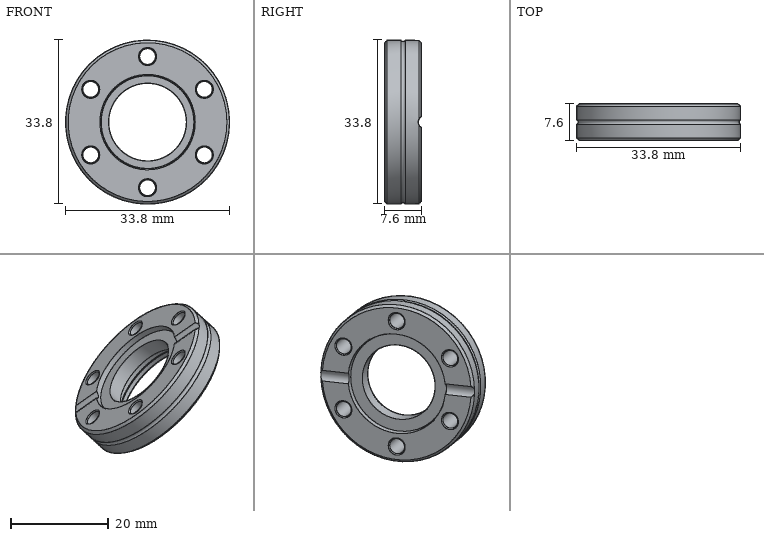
import cadquery as cq
import math


ring_diameter = 33.8
ring_width = 7.6
rim_chamfer = 0.55
lip_diameter = 19.2
lip_depth = 1.15
lip_chamfer = 0.25
seat_diameter = 21.4

rim_groove_width = 0.95
rim_groove_depth = 0.27

bolt_count = 6
bolt_hole_diameter = 3.25
bolt_hole_chamfer = 0.25
bolt_circle_diameter = 27.05

leak_groove_width = 2.3
leak_groove_depth = 0.65

insert_diameter = 21.1
insert_bore = 16.0
socket_diameter = 19.1
socket_chamfer = 0.25
socket_floor_depth = 3.15
insert_setback = 1.18

weld_face = -ring_width / 2
sealing_face = ring_width / 2
insert_front = weld_face + lip_depth
insert_back = sealing_face - insert_setback
overshoot = 0.35


def cylinder(diameter, y_start, y_end):
    """Solid cylinder on the Y axis between two Y positions."""
    return (
        cq.Workplane("XZ", origin=(0, y_start, 0))
        .circle(diameter / 2)
        .extrude(y_start - y_end)
    )


def arc_radius(width, depth):
    """Radius of the arc with the given chord width and height."""
    return (width ** 2 / 4 + depth ** 2) / (2 * depth)


def rim_groove():
    """Ring-shaped cutter for the groove halfway along the rim."""
    radius = arc_radius(rim_groove_width, rim_groove_depth)
    center_radius = ring_diameter / 2 - rim_groove_depth + radius
    return (
        cq.Workplane("XY")
        .center(center_radius, 0)
        .circle(radius)
        .revolve(360, (-center_radius, 0), (-center_radius, 1))
    )


def bolt_hole(angle):
    """Cutter for one through hole with a chamfer at both ends."""
    hole_radius = bolt_hole_diameter / 2
    mouth_radius = hole_radius + bolt_hole_chamfer
    profile = [
        (0, weld_face),
        (mouth_radius, weld_face),
        (hole_radius, weld_face + bolt_hole_chamfer),
        (hole_radius, sealing_face - bolt_hole_chamfer),
        (mouth_radius, sealing_face),
        (0, sealing_face),
    ]
    cutter = cq.Workplane("XY").polyline(profile).close().revolve(360, (0, 0), (0, 1))
    bolt_radius = bolt_circle_diameter / 2
    return cutter.translate((bolt_radius * math.cos(angle), 0, bolt_radius * math.sin(angle)))


def leak_groove():
    """Round-bottomed cutter that runs along X across the whole sealing face."""
    radius = arc_radius(leak_groove_width, leak_groove_depth)
    length = ring_diameter + 2 * overshoot
    return (
        cq.Workplane("YZ", origin=(-length / 2, 0, 0))
        .center(sealing_face - leak_groove_depth + radius, 0)
        .circle(radius)
        .extrude(length)
    )


def make_bolt_ring():
    ring = cylinder(ring_diameter, weld_face, sealing_face).edges().chamfer(rim_chamfer)
    ring = ring.cut(cylinder(lip_diameter, weld_face - overshoot, sealing_face))
    ring = ring.faces("<Y").edges(cq.selectors.RadiusNthSelector(0)).chamfer(lip_chamfer)
    ring = ring.cut(cylinder(seat_diameter, insert_front, sealing_face + overshoot))
    ring = ring.cut(rim_groove())
    for index in range(bolt_count):
        ring = ring.cut(bolt_hole(math.pi / 2 + index * 2 * math.pi / bolt_count))
    return ring.cut(leak_groove())


def make_weld_insert():
    """Stepped sleeve that rests against the lip, with a socket for the tube."""
    socket_floor = weld_face + socket_floor_depth
    insert = cylinder(insert_diameter, insert_front, insert_back)
    insert = insert.cut(cylinder(insert_bore, insert_front - overshoot, insert_back + overshoot))
    insert = insert.cut(cylinder(socket_diameter, insert_front - overshoot, socket_floor))
    return insert.faces("<Y").edges(cq.selectors.RadiusNthSelector(0)).chamfer(socket_chamfer)


bolt_ring = make_bolt_ring()
weld_insert = make_weld_insert()

result = cq.Compound.makeCompound([bolt_ring.val(), weld_insert.val()])